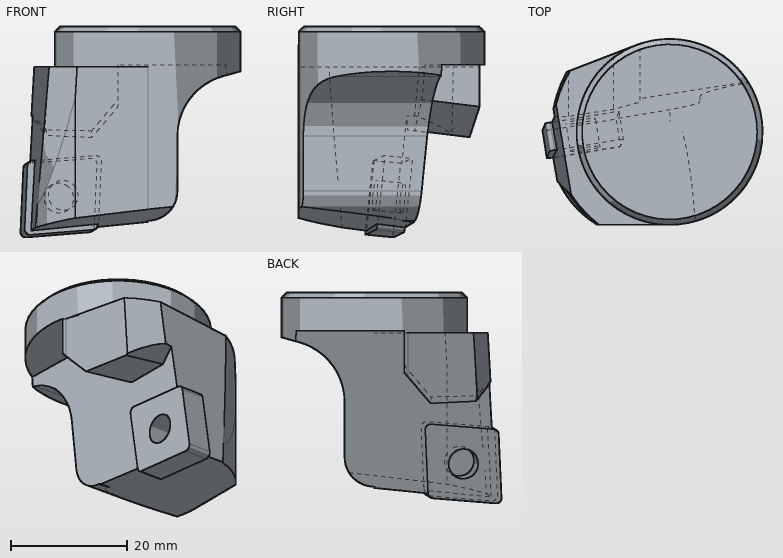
import cadquery as cq
import math

LARGE = 113.65

head_radius = 32.0 / 2
head_chamfer = 0.95
head_height = 6.95

outer_radius = 20.08
cone_flare = 0.036
holder_depth = 37.88
side_face_point = (-16.95, -10.75, -head_height)
side_face_normal = (-0.986, -0.165, 0.0716)
corner_start = (-12.42, -head_radius)
corner_end = (-18.95, -8.9)
corner_bulge = 0.7
facet_angle = 148.2

underside_point = (0, -head_radius, -31.48)
underside_normal = (0.12, -0.11, -1)
shank_x = 5.15
relief_radius = 10.6
relief_start_z = -18.83
relief_turn = 74.5
heel_radius = 5.15
heel_start_z = -28.3

tip = (-21.95, 0.15, -36.4)
rake_normal = (-0.157, 1, -0.1)
edge_direction = (1, 0.17, 0.08)
insert_edge = 12.88
insert_angle = 82.0
insert_thickness = 4.85
insert_corner_radius = 0.95
insert_hole_diameter = 5.15
ceiling_z = -17.3
ceiling_tilt = 7.0
lip_x = -17.42
lip_rise = 7.58
gullet_back_x = -9.65
gullet_wall_x = -5.15
gullet_wall_z = -11.85
gullet_top_z = -6.63


def beyond_plane(point, normal):
    """Large block on the side of a plane that its normal points to."""
    return cq.Workplane(cq.Plane(origin=point, normal=normal)).rect(LARGE, LARGE).extrude(LARGE)


def along_y(profile):
    """Closed XZ profile extended through the whole part along Y."""
    return profile.close().extrude(LARGE / 2, both=True)


def make_head():
    head = cq.Workplane("XY").circle(head_radius).extrude(-head_height)
    return head.faces(">Z").chamfer(head_chamfer)


def make_holder_blank():
    """Tangent outline on the head circle, bounded by the flared outer cone."""
    tangent_angle = facet_angle - math.degrees(math.acos(head_radius / outer_radius))
    tangent = math.radians(tangent_angle)
    touch = (head_radius * math.cos(tangent), head_radius * math.sin(tangent))
    facet_end = (
        touch[0] - head_radius * math.sin(tangent),
        touch[1] + head_radius * math.cos(tangent),
    )
    far_x = -LARGE / 4
    outline = (
        cq.Workplane("XY", origin=(0, 0, -head_height))
        .moveTo(0, -head_radius)
        .lineTo(far_x, -head_radius)
        .lineTo(far_x, facet_end[1])
        .lineTo(*facet_end)
        .lineTo(*touch)
        .threePointArc((head_radius, 0), (0, -head_radius))
        .close()
        .extrude(-holder_depth)
    )
    cone = cq.Workplane(cq.Solid.makeCone(
        outer_radius, outer_radius + cone_flare * holder_depth, holder_depth,
        pnt=cq.Vector(0, 0, -head_height), dir=cq.Vector(0, 0, -1),
    ))
    return outline.intersect(cone)


def corner_cut():
    """Upright, slightly rounded wall at the front left corner."""
    run = corner_end[0] - corner_start[0]
    rise = corner_end[1] - corner_start[1]
    length = math.hypot(run, rise)
    middle = (
        (corner_start[0] + corner_end[0]) / 2 - corner_bulge * rise / length,
        (corner_start[1] + corner_end[1]) / 2 + corner_bulge * run / length,
    )
    return (
        cq.Workplane("XY")
        .moveTo(*corner_start)
        .threePointArc(middle, corner_end)
        .lineTo(corner_end[0] + run, corner_end[1] + rise)
        .lineTo(corner_end[0] + run, corner_start[1] - rise)
        .lineTo(corner_start[0], corner_start[1] - rise)
        .close()
        .extrude(-LARGE)
    )


def shank_relief():
    """Clears the +X side: concave run-out, upright wall and rounded heel."""
    turn = math.radians(relief_turn)

    def relief_point(angle):
        return (
            shank_x + relief_radius * (1 - math.cos(angle)),
            relief_start_z + relief_radius * math.sin(angle),
        )

    relief_end = relief_point(turn)
    exit_point = (LARGE, relief_end[1] + (LARGE - relief_end[0]) / math.tan(turn))
    diagonal = math.sqrt(0.5)
    heel_center = (shank_x - heel_radius, heel_start_z)
    heel_middle = (heel_center[0] + heel_radius * diagonal, heel_center[1] - heel_radius * diagonal)
    profile = (
        cq.Workplane("XZ")
        .moveTo(*relief_end)
        .threePointArc(relief_point(turn / 2), (shank_x, relief_start_z))
        .lineTo(shank_x, heel_start_z)
        .threePointArc(heel_middle, (heel_center[0], heel_start_z - heel_radius))
        .lineTo(heel_center[0], -LARGE)
        .lineTo(LARGE, -LARGE)
        .lineTo(*exit_point)
    )
    return along_y(profile)


def gullet():
    """Space in front of the rake plane: tilted ceiling and taller clearance behind it."""
    chip_space = along_y(
        cq.Workplane("XZ")
        .moveTo(lip_x - lip_rise, ceiling_z + lip_rise)
        .lineTo(lip_x, ceiling_z)
        .lineTo(gullet_back_x, ceiling_z)
        .lineTo(gullet_wall_x, gullet_wall_z)
        .lineTo(gullet_wall_x, -LARGE)
        .lineTo(lip_x - lip_rise, -LARGE)
    ).rotate((0, 0, 0), (1, 0, 0), -ceiling_tilt)
    clearance = along_y(
        cq.Workplane("XZ")
        .moveTo(gullet_wall_x, gullet_top_z)
        .lineTo(LARGE, gullet_top_z)
        .lineTo(LARGE, -LARGE)
        .lineTo(gullet_wall_x, -LARGE)
    )
    return chip_space.union(clearance).intersect(beyond_plane(tip, rake_normal))


def rake_plane():
    """Rake plane at the tip: local X along the lower edge, local -Y up the part."""
    return cq.Plane(origin=tip, xDir=edge_direction, normal=rake_normal)


def far_corner():
    """Upper end of the side cutting edge, in the rake plane."""
    angle = math.radians(insert_angle)
    return (insert_edge * math.cos(angle), -insert_edge * math.sin(angle))


def make_insert_blank():
    """Rhombic insert with rounded corners."""
    upper = far_corner()
    corners = [(0, 0), (insert_edge, 0), (insert_edge + upper[0], upper[1]), upper]
    outline = cq.Sketch().polygon(corners + corners[:1]).vertices().fillet(insert_corner_radius)
    return cq.Workplane(rake_plane()).placeSketch(outline).extrude(-insert_thickness)


def make_insert():
    upper = far_corner()
    hole = (
        cq.Workplane(rake_plane())
        .center((insert_edge + upper[0]) / 2, upper[1] / 2)
        .circle(insert_hole_diameter / 2)
        .extrude(-insert_thickness)
    )
    return make_insert_blank().cut(hole)


def make_holder():
    pad = make_holder_blank()
    pad = pad.cut(beyond_plane(side_face_point, side_face_normal))
    pad = pad.cut(corner_cut())
    pad = pad.cut(beyond_plane(underside_point, underside_normal))
    holder = make_head().union(pad)
    holder = holder.cut(shank_relief()).cut(gullet())
    return holder.cut(make_insert_blank())


holder = make_holder()
insert = make_insert()
result = cq.Compound.makeCompound([holder.val(), insert.val()])